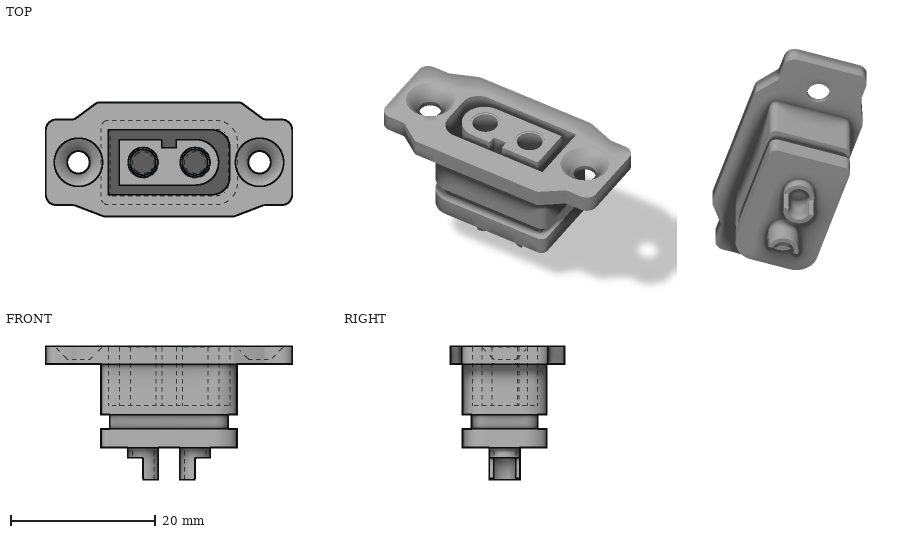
import cadquery as cq

TOTAL_HEIGHT = 18.5
PLATE_THICKNESS = 2.5
BODY_DEPTH = 9.5
GROOVE_HEIGHT = 1.95
FLANGE_HEIGHT = 2.6
PLATE_BOTTOM = TOTAL_HEIGHT - PLATE_THICKNESS
GROOVE_TOP = TOTAL_HEIGHT - BODY_DEPTH
FLANGE_TOP = GROOVE_TOP - GROOVE_HEIGHT
FLANGE_BOTTOM = FLANGE_TOP - FLANGE_HEIGHT

PLATE_LENGTH = 34.15
WING_WIDTH = 11.9
PLATE_BACK = 8.3
PLATE_FRONT = 7.5
SHOULDER_X = 13.1
BACK_CORNER_X = 9.95
FRONT_CORNER_X = 9.0
WING_RADIUS = 1.5
SHOULDER_RADIUS = 1.0

SCREW_X = 12.55
SCREW_DIAMETER = 3.07
COUNTERSINK_DIAMETER = 6.7
COUNTERSINK_ANGLE = 90

BODY_LENGTH = 18.9
BODY_WIDTH = 11.68
BODY_LEFT_RADIUS = 1.0
BODY_RIGHT_RADIUS = 3.0
GROOVE_DEPTH = 1.23

CAVITY_LENGTH = 16.85
CAVITY_WIDTH = 8.98
CAVITY_RADIUS = 2.5
CAVITY_DEPTH = 8.2
CORE_LENGTH = 13.73
CORE_WIDTH = 6.3
CORE_RADIUS = 3.1
KEY_WIDTH = 1.98
KEY_DEPTH = 1.15

CONTACT_PITCH = 7.2
CONTACT_BORE_DIAMETER = 3.55
CONTACT_MOUTH_DIAMETER = 4.1
CONTACT_BORE_DEPTH = CAVITY_DEPTH
CONTACT_RECESS = 0.1
CUP_DIAMETER = 4.27
CUP_BORE_DIAMETER = 3.0
CUP_STEP_HEIGHT = 3.05
CUP_CORNER_RADIUS = 0.2
TIP_BEVEL_HEIGHT = 0.2
TIP_BEVEL_WIDTH = 0.07


def rounded_block(length, width, bottom, top, right_radius, left_radius=0):
    """Upright block centred on the Z axis, with its own corner radius at each X end."""
    block = cq.Workplane("XY").box(length, width, top - bottom, centered=(True, True, False))
    block = block.edges("|Z and >X").fillet(right_radius)
    if left_radius:
        block = block.edges("|Z and <X").fillet(left_radius)
    return block.translate((0, 0, bottom))


def mounting_plate():
    """Plate with rounded wings and a countersunk hole in each wing."""
    half_length = PLATE_LENGTH / 2
    half_wing = WING_WIDTH / 2
    right_half = [
        (FRONT_CORNER_X, -PLATE_FRONT),
        (SHOULDER_X, -half_wing),
        (half_length, -half_wing),
        (half_length, half_wing),
        (SHOULDER_X, half_wing),
        (BACK_CORNER_X, PLATE_BACK),
    ]
    left_half = [(-x, y) for x, y in reversed(right_half)]
    plate = cq.Workplane("XY").polyline(right_half + left_half).close().extrude(PLATE_THICKNESS)
    plate = plate.edges("|Z and (<X or >X)").fillet(WING_RADIUS)
    bends = cq.selectors.BoxSelector(
        (-SHOULDER_X - 0.35, -PLATE_FRONT - 0.35, 0),
        (SHOULDER_X + 0.35, PLATE_BACK + 0.35, PLATE_THICKNESS),
    )
    plate = plate.edges("|Z").edges(bends).fillet(SHOULDER_RADIUS)
    plate = (
        plate.faces(">Z").workplane(origin=(0, 0, 0))
        .pushPoints([(-SCREW_X, 0), (SCREW_X, 0)])
        .cskHole(SCREW_DIAMETER, COUNTERSINK_DIAMETER, COUNTERSINK_ANGLE)
    )
    return plate.translate((0, 0, PLATE_BOTTOM))


def housing():
    """Plate, body, groove neck and bottom flange, still solid."""
    def full_section(bottom, top):
        return rounded_block(BODY_LENGTH, BODY_WIDTH, bottom, top, BODY_RIGHT_RADIUS, BODY_LEFT_RADIUS)

    body = full_section(GROOVE_TOP, PLATE_BOTTOM)
    neck = rounded_block(
        BODY_LENGTH - 2 * GROOVE_DEPTH,
        BODY_WIDTH - 2 * GROOVE_DEPTH,
        FLANGE_TOP,
        GROOVE_TOP,
        BODY_RIGHT_RADIUS - GROOVE_DEPTH,
    )
    flange = full_section(FLANGE_BOTTOM, FLANGE_TOP)
    return mounting_plate().union(body).union(neck).union(flange)


def socket_cavity():
    """Space around the core, open at the top face."""
    floor = TOTAL_HEIGHT - CAVITY_DEPTH
    cavity = rounded_block(CAVITY_LENGTH, CAVITY_WIDTH, floor, TOTAL_HEIGHT, CAVITY_RADIUS)
    core = rounded_block(CORE_LENGTH, CORE_WIDTH, floor, TOTAL_HEIGHT, CORE_RADIUS)
    key_slot = (
        cq.Workplane("XY")
        .box(KEY_WIDTH, KEY_DEPTH, CAVITY_DEPTH, centered=(True, True, False))
        .translate((0, (CORE_WIDTH - KEY_DEPTH) / 2, floor))
    )
    return cavity.cut(core.cut(key_slot))


def contact_bore(x):
    """Blind bore from the top face, stepped where the contact rim sits just below it."""
    top = cq.Workplane("XY", origin=(x, 0, TOTAL_HEIGHT))
    bore = top.circle(CONTACT_BORE_DIAMETER / 2).extrude(-CONTACT_BORE_DEPTH)
    recess = top.circle(CONTACT_MOUTH_DIAMETER / 2).extrude(-CONTACT_RECESS)
    return bore.union(recess)


def solder_cup(x):
    """Tube under the flange, its outer half cut away to leave a tongue facing the middle."""
    cup = cq.Workplane("XY").circle(CUP_DIAMETER / 2).extrude(FLANGE_BOTTOM)
    bore = cq.Workplane("XY").circle(CUP_BORE_DIAMETER / 2).extrude(FLANGE_BOTTOM)
    cutaway = (
        cq.Workplane("XY")
        .box(CUP_DIAMETER, CUP_DIAMETER, CUP_STEP_HEIGHT, centered=(False, True, False))
        .edges("|Y and <X and >Z")
        .fillet(CUP_CORNER_RADIUS)
    )
    tip_bevel = (
        cq.Workplane("XZ")
        .polyline([(0, 0), (-TIP_BEVEL_WIDTH, 0), (0, TIP_BEVEL_HEIGHT)])
        .close()
        .extrude(CUP_DIAMETER / 2, both=True)
    )
    cup = cup.cut(bore).cut(cutaway).cut(tip_bevel)
    if x < 0:
        cup = cup.mirror("YZ")
    return cup.translate((x, 0, 0))


result = housing().cut(socket_cavity())
for contact_x in (-CONTACT_PITCH / 2, CONTACT_PITCH / 2):
    result = result.cut(contact_bore(contact_x)).union(solder_cup(contact_x))